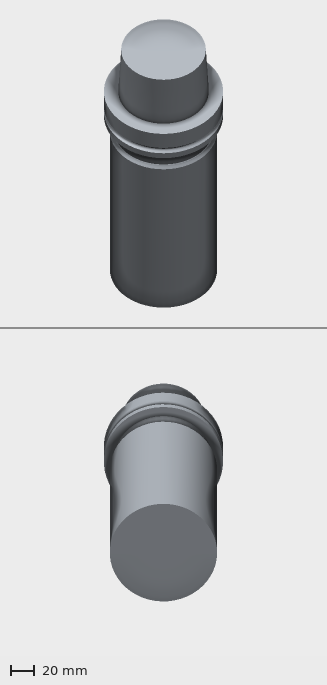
import cadquery as cq
import math

flange_diameter = 100.0
groove_diameter = 92.0
neck_diameter = 83.4
body_diameter = 90.0
shank_base_diameter = 75.8
shank_tip_diameter = 71.0

shank_length = 50.0
shank_base_length = 2.0
flange_thickness = 29.0
neck_length = 16.0
body_length = 168.0

groove_center_depth = 20.0
groove_width = 6.4
lip_bevel_width = 2.25
lip_bevel_angle = 30.0

body_chamfer = 2.5

flange_radius = flange_diameter / 2
groove_radius = groove_diameter / 2
neck_radius = neck_diameter / 2
body_radius = body_diameter / 2
shank_base_radius = shank_base_diameter / 2
shank_tip_radius = shank_tip_diameter / 2
groove_top = -groove_center_depth + groove_width / 2
lip_bevel_height = lip_bevel_width * math.tan(math.radians(lip_bevel_angle))
lip_bevel_inner_radius = flange_radius - lip_bevel_width
groove_bottom = -groove_center_depth - groove_width / 2
upper_wall = groove_top - lip_bevel_height
lower_wall = groove_bottom + lip_bevel_height
flange_bottom = -flange_thickness
body_top = flange_bottom - neck_length
body_bottom = body_top - body_length


def revolve_about_z(profile):
    """Spin a closed (radius, Z) outline one full turn about the Z axis."""
    return cq.Workplane("XZ").polyline(profile).close().revolve(360, (0, 0), (0, 1))


def make_body():
    """Long cylinder chamfered at its upper edge."""
    return revolve_about_z([
        (0, body_bottom),
        (body_radius, body_bottom),
        (body_radius, body_top - body_chamfer),
        (body_radius - body_chamfer, body_top),
        (0, body_top),
    ])


def make_neck():
    """Reduced cylinder between body and flange."""
    return cq.Workplane("XY", origin=(0, 0, body_top)).circle(neck_radius).extrude(neck_length)


def make_flange():
    """Disc with the gripper groove around its rim."""
    return revolve_about_z([
        (0, flange_bottom),
        (flange_radius, flange_bottom),
        (flange_radius, groove_bottom),
        (lip_bevel_inner_radius, lower_wall),
        (groove_radius, lower_wall),
        (groove_radius, upper_wall),
        (lip_bevel_inner_radius, upper_wall),
        (flange_radius, groove_top),
        (flange_radius, 0),
        (0, 0),
    ])


def make_shank():
    """Short straight base followed by the taper up to the flat tip."""
    return revolve_about_z([
        (0, 0),
        (shank_base_radius, 0),
        (shank_base_radius, shank_base_length),
        (shank_tip_radius, shank_length),
        (0, shank_length),
    ])


result = make_body().union(make_neck()).union(make_flange()).union(make_shank())